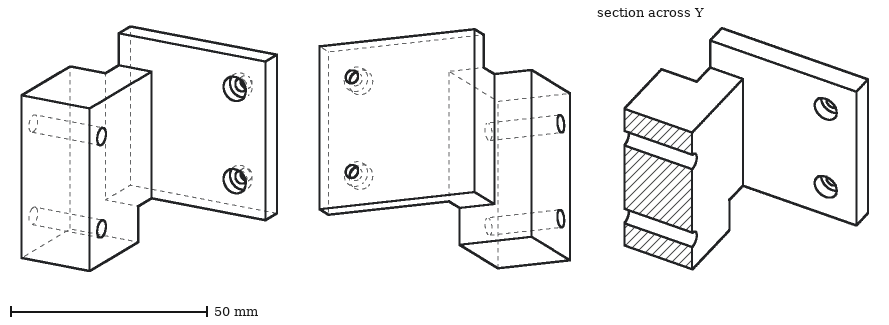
import cadquery as cq

overall_width = 53.34
overall_depth = 37.9
overall_height = 52.72

plate_size = 43.0
plate_thickness = 6.0

block_width = 20.0
block_depth = 25.1
block_height = 44.06

hole_spacing = 25.0

screw_diameter = 3.4
screw_head_diameter = 6.5
screw_head_depth = 3.3
screw_edge_distance = 9.0

cross_hole_diameter = 4.5
cross_hole_front_distance = 6.1

plate_left = overall_width - plate_size
plate_bottom = overall_height - plate_size
plate_front = overall_depth - plate_thickness
plate_center_z = plate_bottom + plate_size / 2
block_center_z = block_height / 2


def box_between(low, high):
    """Box spanning two opposite corners."""
    size = [end - start for start, end in zip(low, high)]
    return cq.Workplane("XY").box(*size, centered=False).translate(low)


def pair_heights(center_z):
    """Heights of two holes placed evenly about a center height."""
    return [center_z - hole_spacing / 2, center_z + hole_spacing / 2]


def make_body():
    """Plate and block joined by a neck that is flush with the plate's left and bottom edges."""
    plate = box_between(
        (plate_left, plate_front, plate_bottom),
        (overall_width, overall_depth, overall_height),
    )
    block = box_between((0, 0, 0), (block_width, block_depth, block_height))
    neck = box_between(
        (plate_left, block_depth, plate_bottom),
        (block_width, plate_front, block_height),
    )
    return block.union(neck).union(plate)


def screw_cutter(z):
    """Through hole with a counterbore sunk into the plate's front face."""
    center = cq.Vector(overall_width - screw_edge_distance, plate_front, z)
    inward = cq.Vector(0, 1, 0)
    shank = cq.Solid.makeCylinder(screw_diameter / 2, plate_thickness, center, inward)
    head = cq.Solid.makeCylinder(screw_head_diameter / 2, screw_head_depth, center, inward)
    return cq.Workplane(obj=shank).union(cq.Workplane(obj=head))


def cross_hole_cutter(z):
    """Plain hole running across the full width of the block."""
    center = cq.Vector(0, cross_hole_front_distance, z)
    hole = cq.Solid.makeCylinder(cross_hole_diameter / 2, block_width, center, cq.Vector(1, 0, 0))
    return cq.Workplane(obj=hole)


result = make_body()
for screw_z in pair_heights(plate_center_z):
    result = result.cut(screw_cutter(screw_z))
for cross_hole_z in pair_heights(block_center_z):
    result = result.cut(cross_hole_cutter(cross_hole_z))